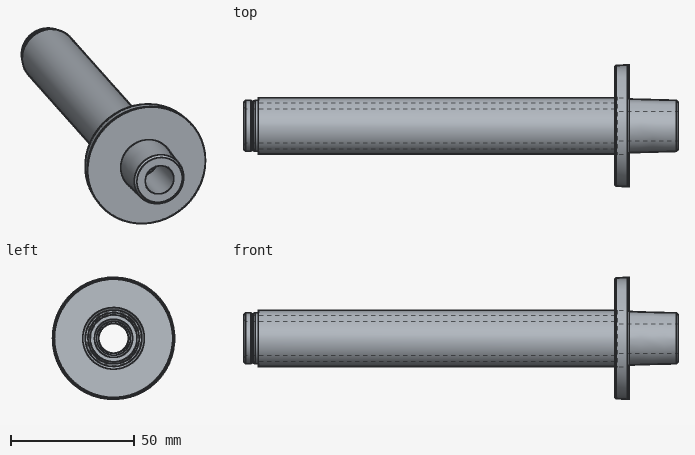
import cadquery as cq

LENGTH = 176.0
START = -LENGTH / 2

THREAD_END = 2.8
COLLAR_START = 3.9
SLEEVE_START = 6.0
FLANGE_START = 150.3
SEAL_START = 155.2
SEAL_END = 156.1

FLANGE_RADIUS = 24.73
FLANGE_FRONT_RADIUS = 24.5
SLEEVE_RADIUS = 11.5
PIPE_RADIUS = 9.3
THREAD_RADIUS = 10.4
RELIEF_RADIUS = 9.9
PIPE_BORE_RADIUS = 6.9
ADAPTER_BORE_RADIUS = 6.0
ADAPTER_BACK_RADIUS = 11.0
ADAPTER_TIP_RADIUS = 10.4

END_CHAMFER = 0.9
BORE_CHAMFER = 0.9
RELIEF_CHAMFER = THREAD_RADIUS - RELIEF_RADIUS
COLLAR_CHAMFER_DEPTH = 0.4
COLLAR_CHAMFER = 0.9
FLANGE_CHAMFER = 0.5
FLANGE_HOLE_CHAMFER = 1.0


def revolve_profile(points):
    """Revolve a closed (station, radius) outline about the X axis."""
    outline = [(START + station, radius) for station, radius in points]
    return cq.Workplane("XY").polyline(outline).close().revolve(360, (0, 0, 0), (1, 0, 0))


def make_pipe():
    """Inner pipe with a short chamfered thread and relief at the spout end."""
    return revolve_profile([
        (0, PIPE_BORE_RADIUS + BORE_CHAMFER),
        (0, THREAD_RADIUS - END_CHAMFER),
        (END_CHAMFER, THREAD_RADIUS),
        (THREAD_END, THREAD_RADIUS),
        (THREAD_END + RELIEF_CHAMFER, RELIEF_RADIUS),
        (COLLAR_START, RELIEF_RADIUS),
        (COLLAR_START, PIPE_RADIUS),
        (FLANGE_START, PIPE_RADIUS),
        (FLANGE_START, PIPE_BORE_RADIUS),
        (BORE_CHAMFER, PIPE_BORE_RADIUS),
    ])


def make_collar():
    """Chamfered ring that sits between the thread relief and the sleeve."""
    return revolve_profile([
        (COLLAR_START, PIPE_RADIUS),
        (COLLAR_START, THREAD_RADIUS - COLLAR_CHAMFER_DEPTH),
        (COLLAR_START + COLLAR_CHAMFER, THREAD_RADIUS),
        (SLEEVE_START, THREAD_RADIUS),
        (SLEEVE_START, PIPE_RADIUS),
    ])


def make_sleeve():
    """Plain outer tube that covers the pipe up to the wall flange."""
    return revolve_profile([
        (SLEEVE_START, PIPE_RADIUS),
        (SLEEVE_START, SLEEVE_RADIUS),
        (FLANGE_START + FLANGE_HOLE_CHAMFER, SLEEVE_RADIUS),
        (FLANGE_START + FLANGE_HOLE_CHAMFER, PIPE_RADIUS),
    ])


def make_flange():
    """Wall flange with a tapered rim and a countersunk hole around the sleeve."""
    return revolve_profile([
        (FLANGE_START, SLEEVE_RADIUS + FLANGE_HOLE_CHAMFER),
        (FLANGE_START, FLANGE_FRONT_RADIUS - FLANGE_CHAMFER),
        (FLANGE_START + FLANGE_CHAMFER, FLANGE_FRONT_RADIUS),
        (SEAL_START, FLANGE_RADIUS),
        (SEAL_START, SLEEVE_RADIUS),
        (FLANGE_START + FLANGE_HOLE_CHAMFER, SLEEVE_RADIUS),
    ])


def make_seal():
    """Thin flat ring behind the flange."""
    return revolve_profile([
        (SEAL_START, ADAPTER_BACK_RADIUS),
        (SEAL_START, FLANGE_RADIUS),
        (SEAL_END, FLANGE_RADIUS),
        (SEAL_END, ADAPTER_BACK_RADIUS),
    ])


def make_adapter():
    """Tapered wall connection that closes on the pipe and fills the flange hole."""
    sleeve_end = FLANGE_START + FLANGE_HOLE_CHAMFER
    return revolve_profile([
        (FLANGE_START, ADAPTER_BORE_RADIUS),
        (FLANGE_START, PIPE_RADIUS),
        (sleeve_end, PIPE_RADIUS),
        (sleeve_end, SLEEVE_RADIUS),
        (SEAL_START, SLEEVE_RADIUS),
        (SEAL_START, ADAPTER_BACK_RADIUS),
        (SEAL_END, ADAPTER_BACK_RADIUS),
        (LENGTH - END_CHAMFER, ADAPTER_TIP_RADIUS),
        (LENGTH, ADAPTER_TIP_RADIUS - END_CHAMFER),
        (LENGTH, ADAPTER_BORE_RADIUS),
    ])


pipe = make_pipe()
collar = make_collar()
sleeve = make_sleeve()
flange = make_flange()
seal = make_seal()
adapter = make_adapter()

result = cq.Compound.makeCompound([
    pipe.val(),
    collar.val(),
    sleeve.val(),
    flange.val(),
    seal.val(),
    adapter.val(),
])